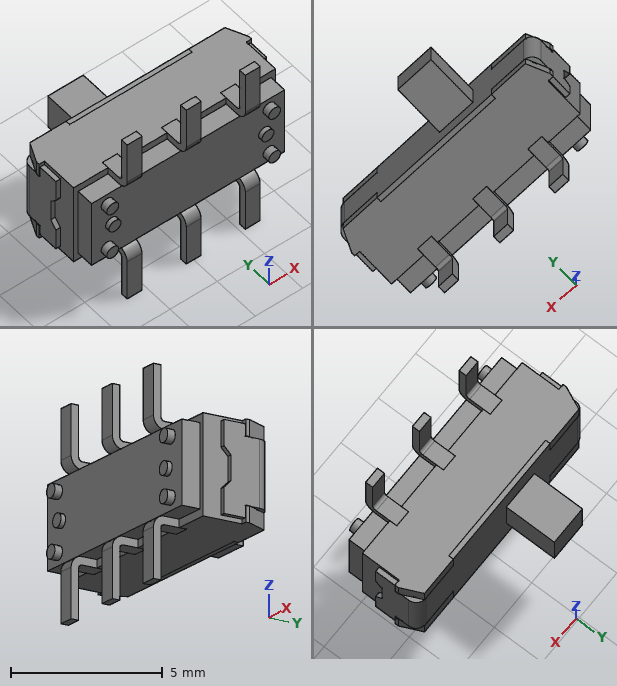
import cadquery as cq


BASE_HALF_LENGTH = 4.08
BASE_HALF_WIDTH = 1.5
BASE_HEIGHT = 0.71
HOUSING_HALF_LENGTH = 4.27
HOUSING_HALF_WIDTH = 1.8
HOUSING_TOP = 3.2

EAR_HALF_LENGTH = 4.495
EAR_BOTTOM = 2.25
EAR_SLOPE_BOTTOM = 2.39
EAR_SLOPE_TOP_X = 4.13
EAR_WIDTH = 0.59

PEG_RADIUS = 0.25
CORNER_PEG_X = 3.425
CORNER_PEG_Z = 1.06
MIDDLE_PEG_X = 3.24
MIDDLE_PEG_LENGTH = 0.18

COVER_THICKNESS = 0.19
COVER_BEND_RADIUS = 0.405
WING_HALF_LENGTH = 2.59
TAB_HALF_WIDTH = 1.64
TAB_BOTTOM = 1.41
TAB_NOTCH_DEPTH = 0.27
TAB_NOTCH_HALF_WIDTH = 0.45

SLIDER_SIZE = 1.5
SLIDER_HEIGHT = 2.01
SLIDER_X = -1.0

TERMINAL_PITCH = 2.5
TERMINAL_WIDTH = 0.63
TERMINAL_THICKNESS = 0.3
TERMINAL_TOP = 1.01
TERMINAL_BEND_RADIUS = 0.14
TERMINAL_SPAN = 7.49

cover_half_width = HOUSING_HALF_WIDTH - EAR_WIDTH
cover_half_length = HOUSING_HALF_LENGTH + COVER_THICKNESS
cover_underside = HOUSING_TOP - COVER_THICKNESS
corner_peg_length = TERMINAL_THICKNESS


def block(half_length, bottom, top, half_width):
    """Block centred on X = 0 and Z = 0, between two Y levels."""
    return (
        cq.Workplane("XY")
        .box(2 * half_length, top - bottom, 2 * half_width, centered=(True, False, True))
        .translate((0, bottom, 0))
    )


def arch(half_length, bottom, top, radius, half_width):
    """Block whose two upper edges along Z are rounded."""
    return block(half_length, bottom, top, half_width).edges("|Z and >Y").fillet(radius)


def wings():
    """Middle stretch of the cover plate, reaching both outer faces of the housing."""
    return block(WING_HALF_LENGTH, cover_underside, HOUSING_TOP, HOUSING_HALF_WIDTH)


def housing_core():
    """Housing block that the cover fits over."""
    inner_radius = COVER_BEND_RADIUS - COVER_THICKNESS
    return arch(HOUSING_HALF_LENGTH, BASE_HEIGHT, cover_underside, inner_radius, HOUSING_HALF_WIDTH)


def eared_wall(z_start):
    """Raised side wall that ends in a sloped ear at both ends."""
    return (
        cq.Workplane("XY", origin=(0, 0, z_start))
        .moveTo(-HOUSING_HALF_LENGTH, BASE_HEIGHT)
        .lineTo(-HOUSING_HALF_LENGTH, EAR_BOTTOM)
        .lineTo(-EAR_HALF_LENGTH, EAR_BOTTOM)
        .lineTo(-EAR_HALF_LENGTH, EAR_SLOPE_BOTTOM)
        .lineTo(-EAR_SLOPE_TOP_X, HOUSING_TOP)
        .lineTo(EAR_SLOPE_TOP_X, HOUSING_TOP)
        .lineTo(EAR_HALF_LENGTH, EAR_SLOPE_BOTTOM)
        .lineTo(EAR_HALF_LENGTH, EAR_BOTTOM)
        .lineTo(HOUSING_HALF_LENGTH, EAR_BOTTOM)
        .lineTo(HOUSING_HALF_LENGTH, BASE_HEIGHT)
        .close()
        .extrude(EAR_WIDTH)
    )


def pegs(places, length):
    """Round pegs that stand out of the base toward -Y, at the given (x, z) places."""
    return cq.Workplane("XZ").pushPoints(places).circle(PEG_RADIUS).extrude(length)


def make_housing(terminals):
    """Housing with its stepped base, ears and pegs, and recesses for the cover and terminals."""
    corner_places = [(x, z) for x in (-CORNER_PEG_X, CORNER_PEG_X) for z in (-CORNER_PEG_Z, CORNER_PEG_Z)]
    middle_places = [(-MIDDLE_PEG_X, 0), (MIDDLE_PEG_X, 0)]
    housing = (
        housing_core()
        .union(eared_wall(-HOUSING_HALF_WIDTH))
        .union(eared_wall(cover_half_width))
        .cut(wings())
        .union(block(BASE_HALF_LENGTH, 0, BASE_HEIGHT, BASE_HALF_WIDTH))
        .union(pegs(corner_places, corner_peg_length))
        .union(pegs(middle_places, MIDDLE_PEG_LENGTH))
    )
    for terminal in terminals:
        housing = housing.cut(terminal)
    return housing


def end_tab(x_start):
    """Wide lower part of a bent cover end, with a flared notch in its bottom edge."""
    notch_top = TAB_BOTTOM + TAB_NOTCH_DEPTH
    notch_mouth = TAB_NOTCH_HALF_WIDTH + TAB_NOTCH_DEPTH
    return (
        cq.Workplane("YZ", origin=(x_start, 0, 0))
        .moveTo(EAR_BOTTOM, -TAB_HALF_WIDTH)
        .lineTo(TAB_BOTTOM, -TAB_HALF_WIDTH)
        .lineTo(TAB_BOTTOM, -notch_mouth)
        .lineTo(notch_top, -TAB_NOTCH_HALF_WIDTH)
        .lineTo(notch_top, TAB_NOTCH_HALF_WIDTH)
        .lineTo(TAB_BOTTOM, notch_mouth)
        .lineTo(TAB_BOTTOM, TAB_HALF_WIDTH)
        .lineTo(EAR_BOTTOM, TAB_HALF_WIDTH)
        .close()
        .extrude(COVER_THICKNESS)
    )


def make_cover():
    """Sheet cover bent down over both ends of the housing."""
    return (
        arch(cover_half_length, EAR_BOTTOM, HOUSING_TOP, COVER_BEND_RADIUS, cover_half_width)
        .cut(housing_core())
        .union(wings())
        .union(end_tab(-cover_half_length))
        .union(end_tab(HOUSING_HALF_LENGTH))
    )


def make_slider():
    """Square slider standing on the cover."""
    slider = block(SLIDER_SIZE / 2, HOUSING_TOP, HOUSING_TOP + SLIDER_HEIGHT, SLIDER_SIZE / 2)
    return slider.translate((SLIDER_X, 0, 0))


def make_terminal(x_centre):
    """Terminal on the +Z side: down the side of the base, then bent outward into a foot."""
    outer_radius = TERMINAL_BEND_RADIUS + TERMINAL_THICKNESS
    outer_z = BASE_HALF_WIDTH + TERMINAL_THICKNESS
    bend_z = outer_z + TERMINAL_BEND_RADIUS
    return (
        cq.Workplane("YZ", origin=(x_centre - TERMINAL_WIDTH / 2, 0, 0))
        .moveTo(TERMINAL_TOP, BASE_HALF_WIDTH)
        .lineTo(TERMINAL_BEND_RADIUS, BASE_HALF_WIDTH)
        .radiusArc((-TERMINAL_THICKNESS, bend_z), outer_radius)
        .lineTo(-TERMINAL_THICKNESS, TERMINAL_SPAN / 2)
        .lineTo(0, TERMINAL_SPAN / 2)
        .lineTo(0, bend_z)
        .radiusArc((TERMINAL_BEND_RADIUS, outer_z), -TERMINAL_BEND_RADIUS)
        .lineTo(TERMINAL_TOP, outer_z)
        .close()
        .extrude(TERMINAL_WIDTH)
    )


terminals = []
for x_centre in (-TERMINAL_PITCH, 0, TERMINAL_PITCH):
    upper_terminal = make_terminal(x_centre)
    terminals.append(upper_terminal)
    terminals.append(upper_terminal.mirror("XY"))

housing = make_housing(terminals)
cover = make_cover()
slider = make_slider()

result = cq.Compound.makeCompound(
    [housing.val(), cover.val(), slider.val(), *[terminal.val() for terminal in terminals]]
)